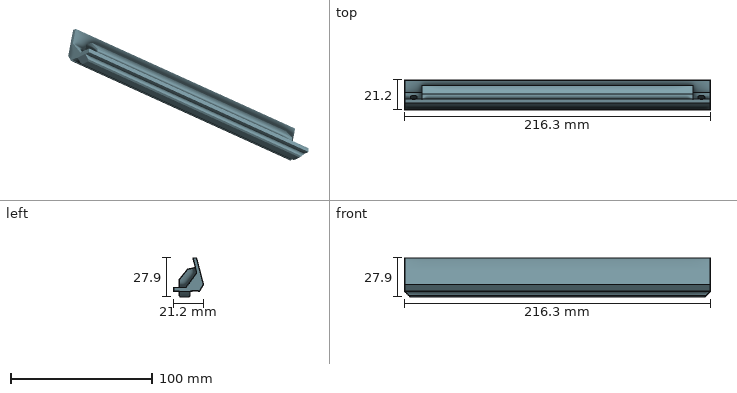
import cadquery as cq
import math

LENGTH = 216.32
DEPTH = 21.15
HEIGHT = 27.87

KEEL_DROP = 4.0
LIP_TOP = HEIGHT - KEEL_DROP
NOSE_HEIGHT = 5.0
TOE_Y = 2.9
BASE_THICKNESS = 3.0
LIP_LEAN = math.radians(14.7)
LIP_WIDTH = 2.65
SLOPE_FOOT_Y = 12.4
SLOPE_HEAD_Z = 13.2

RECESS_FRONT_Y = 3.7
RECESS_BACK_Y = 8.3
RECESS_DEPTH = 0.4

BAR_END_GAP = 12.4
BAR_BACK_Y = DEPTH - 3.9
BAR_SHOULDER_Z = 8.4
BAR_CREST_Y = 11.3
BAR_CREST_Z = 15.8
BAR_LIP_Z = 17.0

KEEL_BACK_Y = BAR_BACK_Y
KEEL_WIDTH = 7.8
KEEL_CHAMFER = 1.0

HOLE_DIAMETER = 4.8
HOLE_DEPTH = 4.0
HOLE_END_GAP = 6.4
HOLE_Y = 8.9


def lip_front_y(z):
    """Y of the leaning front face at height z."""
    return (z - NOSE_HEIGHT) * math.tan(LIP_LEAN)


def lip_back_y(z):
    """Y of the leaning back face of the lip at height z."""
    return lip_front_y(z) + LIP_WIDTH


def extrude_along_x(points, length):
    """Prism with the given (Y, Z) outline, centred on X = 0."""
    return cq.Workplane("YZ").polyline(points).close().extrude(length / 2, both=True)


SLOPE_HEAD_Y = lip_back_y(SLOPE_HEAD_Z)
WEB_RISE = SLOPE_HEAD_Z - BASE_THICKNESS
WEB_RUN = SLOPE_FOOT_Y - SLOPE_HEAD_Y


def make_rail():
    return extrude_along_x(
        [
            (DEPTH, 0),
            (DEPTH, BASE_THICKNESS),
            (SLOPE_FOOT_Y, BASE_THICKNESS),
            (SLOPE_HEAD_Y, SLOPE_HEAD_Z),
            (lip_back_y(LIP_TOP), LIP_TOP),
            (lip_front_y(LIP_TOP), LIP_TOP),
            (0, NOSE_HEIGHT),
            (TOE_Y, 0),
            (RECESS_FRONT_Y, 0),
            (RECESS_FRONT_Y, RECESS_DEPTH),
            (RECESS_BACK_Y, RECESS_DEPTH),
            (RECESS_BACK_Y, 0),
        ],
        LENGTH,
    )


def make_bar():
    return extrude_along_x(
        [
            (BAR_BACK_Y, BASE_THICKNESS),
            (BAR_BACK_Y, BAR_SHOULDER_Z),
            (BAR_CREST_Y, BAR_CREST_Z),
            (lip_back_y(BAR_LIP_Z), BAR_LIP_Z),
            (SLOPE_HEAD_Y, SLOPE_HEAD_Z),
            (SLOPE_FOOT_Y, BASE_THICKNESS),
        ],
        LENGTH - 2 * BAR_END_GAP,
    )


def make_keel():
    """Keel with chamfered lower edges and ends cut back at 45 degrees."""
    back = KEEL_BACK_Y
    front = KEEL_BACK_Y - KEEL_WIDTH
    chamfer_top = KEEL_CHAMFER - KEEL_DROP
    full_length_keel = extrude_along_x(
        [
            (back, 0),
            (back, chamfer_top),
            (back - KEEL_CHAMFER, -KEEL_DROP),
            (front + KEEL_CHAMFER, -KEEL_DROP),
            (front, chamfer_top),
            (front, 0),
        ],
        LENGTH,
    )
    half_top = LENGTH / 2
    half_bottom = half_top - KEEL_DROP
    side_outline = (
        cq.Workplane("XZ", origin=(0, back, 0))
        .moveTo(-half_top, 0)
        .lineTo(half_top, 0)
        .lineTo(half_bottom, -KEEL_DROP)
        .lineTo(-half_bottom, -KEEL_DROP)
        .close()
        .extrude(KEEL_WIDTH)
    )
    return full_length_keel.intersect(side_outline)


def make_web_hole(x):
    z = BASE_THICKNESS + (SLOPE_FOOT_Y - HOLE_Y) * WEB_RISE / WEB_RUN
    into_web = cq.Vector(0, -WEB_RISE, -WEB_RUN).normalized()
    mouth = cq.Vector(x, HOLE_Y, z)
    radius = HOLE_DIAMETER / 2
    start = mouth - into_web * radius
    return cq.Workplane(cq.Solid.makeCylinder(radius, HOLE_DEPTH + radius, start, into_web))


result = make_rail().union(make_bar()).union(make_keel())
for side in (-1, 1):
    result = result.cut(make_web_hole(side * (LENGTH / 2 - HOLE_END_GAP)))